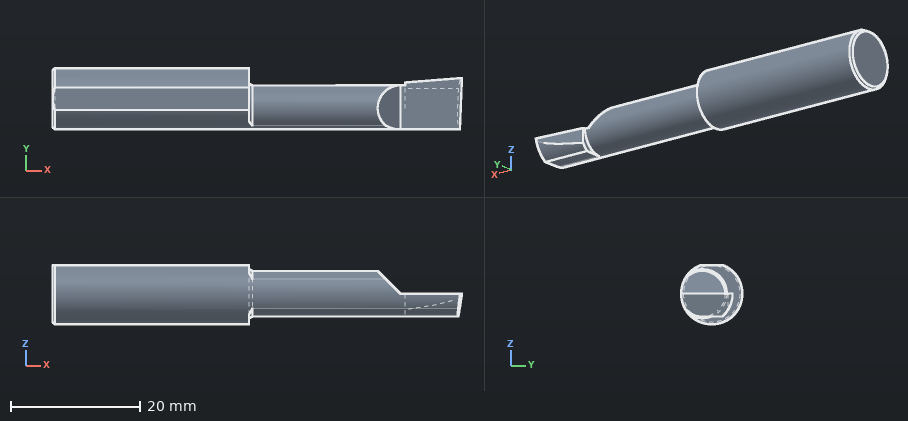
import cadquery as cq

total_length = 63.5
shank_radius = 4.75
shank_length = 30.5
flat_height = 4.45
end_chamfer = 0.4

neck_radius = 3.55
neck_y = -1.45
root_length = 0.5
root_rise = 0.25

rake_start = 54.0
head_start = 54.7
head_start_y = 2.55
head_radius = 4.7
tip_y = neck_y + head_radius
edge_setback = 0.3
front_relief = 0.5


def rod(radius, x_start, x_end, y_center=0.0):
    """Round bar parallel to X."""
    return (
        cq.Workplane("YZ", origin=(x_start, y_center, 0))
        .circle(radius)
        .extrude(x_end - x_start)
    )


def make_shank():
    """Shank with a chamfered rear end and a flat along its top."""
    shank = rod(shank_radius, 0, shank_length).faces("<X").chamfer(end_chamfer)
    flat_cutter = (
        cq.Workplane("XY", origin=(0, 0, flat_height))
        .rect(2 * shank_length, 2 * shank_radius)
        .extrude(shank_radius)
    )
    return shank.cut(flat_cutter)


def make_neck():
    """Neck with a short conical root against the shank shoulder."""
    profile = [
        (shank_length, 0),
        (shank_length, neck_radius + root_rise),
        (shank_length + root_length, neck_radius),
        (total_length, neck_radius),
        (total_length, 0),
    ]
    return (
        cq.Workplane("XY", origin=(0, neck_y, 0))
        .polyline(profile)
        .close()
        .revolve(360, (0, 0, 0), (1, 0, 0))
    )


def make_head():
    """Flared head, wider than the neck on the +Y side."""
    outline = [
        (head_start, neck_y),
        (head_start, head_start_y),
        (total_length, tip_y),
        (total_length, neck_y),
    ]
    block = cq.Workplane("XY").polyline(outline).close().extrude(-neck_radius)
    return block.intersect(rod(head_radius, head_start, total_length, neck_y))


def rake_cutter():
    """Space above the rake face, with a 45 degree run-out."""
    depth = 2 * shank_radius
    return (
        cq.Workplane("XZ")
        .moveTo(rake_start, 0)
        .lineTo(total_length, 0)
        .lineTo(total_length, shank_radius)
        .lineTo(rake_start - shank_radius, shank_radius)
        .close()
        .extrude(depth, both=True)
    )


def relieve_front(body):
    """Slant the front face back from the tip, downward and toward -Y."""
    down_slope = front_relief / neck_radius
    side_slope = edge_setback / (tip_y + shank_radius)
    plane = cq.Plane(
        origin=(total_length, tip_y, 0),
        xDir=(side_slope, 1, 0),
        normal=(1, -side_slope, -down_slope),
    )
    cutter = cq.Workplane(plane).rect(4 * shank_radius, 4 * shank_radius).extrude(shank_radius)
    return body.cut(cutter)


envelope = rod(shank_radius, 0, total_length)
tool = make_neck().union(make_head()).intersect(envelope)
tool = tool.cut(rake_cutter())
tool = relieve_front(tool)
result = make_shank().union(tool)